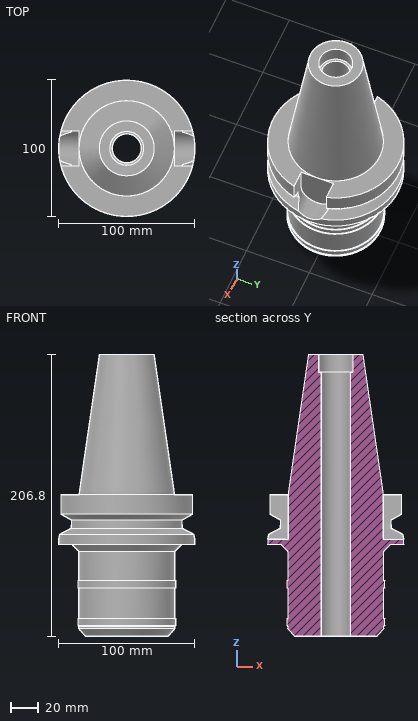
import cadquery as cq

total_height = 206.8

taper_base_z = 105.3
taper_base_radius = 35.0
taper_slope = 7 / 48
taper_top_radius = taper_base_radius - (total_height - taper_base_z) * taper_slope

flange_radius = 50.0
flange_top_z = 104.0
flange_bottom_z = 67.2
groove_floor_radius = 42.5
groove_top_z = 89.5
groove_floor_top_z = 85.2
groove_floor_bottom_z = 79.2
groove_bottom_z = 74.9

body_radius = 35.4
band_radius = 36.0
shoulder_height = 5.0
upper_band_bottom_z = 35.4
upper_band_top_z = 41.0
lower_band_bottom_z = 7.2
lower_band_top_z = 13.0
nose_radius = 30.5
nose_chamfer_top_z = 5.5

slot_width = 25.6
slot_floor_x = 35.0
slot_bottom_z = 71.3

bore_radius = 10.5
counterbore_radius = 12.5
counterbore_depth = 13.0


def turned_body():
    """Revolve the outer half profile, listed from the nose up to the small end of the taper."""
    profile = [
        (0, 0),
        (nose_radius, 0),
        (body_radius, nose_chamfer_top_z),
        (body_radius, flange_bottom_z - shoulder_height),
        (body_radius + shoulder_height, flange_bottom_z),
        (flange_radius, flange_bottom_z),
        (flange_radius, groove_bottom_z),
        (groove_floor_radius, groove_floor_bottom_z),
        (groove_floor_radius, groove_floor_top_z),
        (flange_radius, groove_top_z),
        (flange_radius, flange_top_z),
        (taper_base_radius, flange_top_z),
        (taper_base_radius, taper_base_z),
        (taper_top_radius, total_height),
        (0, total_height),
    ]
    return cq.Workplane("XZ").polyline(profile).close().revolve(360, (0, 0, 0), (0, 1, 0))


def band(bottom_z, top_z):
    """Raised ring around the cylindrical body."""
    return cq.Workplane("XY").workplane(offset=bottom_z).circle(band_radius).extrude(top_z - bottom_z)


def drive_slot(side):
    """Round-bottomed slot open at the flange top; side is +1 for +X and -1 for -X."""
    half_width = slot_width / 2
    arc_center_z = slot_bottom_z + half_width
    profile = (
        cq.Workplane("YZ", origin=(side * slot_floor_x, 0, 0))
        .moveTo(-half_width, flange_top_z)
        .lineTo(-half_width, arc_center_z)
        .threePointArc((0, slot_bottom_z), (half_width, arc_center_z))
        .lineTo(half_width, flange_top_z)
        .close()
    )
    return profile.extrude(side * flange_radius)


def central_bore():
    """Through bore with a wider counterbore at the small end of the taper."""
    bore = cq.Workplane("XY").circle(bore_radius).extrude(total_height)
    counterbore = (
        cq.Workplane("XY")
        .workplane(offset=total_height - counterbore_depth)
        .circle(counterbore_radius)
        .extrude(counterbore_depth)
    )
    return bore.union(counterbore)


result = turned_body()
result = result.union(band(upper_band_bottom_z, upper_band_top_z))
lower_band = band(lower_band_bottom_z, lower_band_top_z).faces("<Z").chamfer(band_radius - body_radius)
result = result.union(lower_band)
for slot_side in (-1, 1):
    result = result.cut(drive_slot(slot_side))
result = result.cut(central_bore())